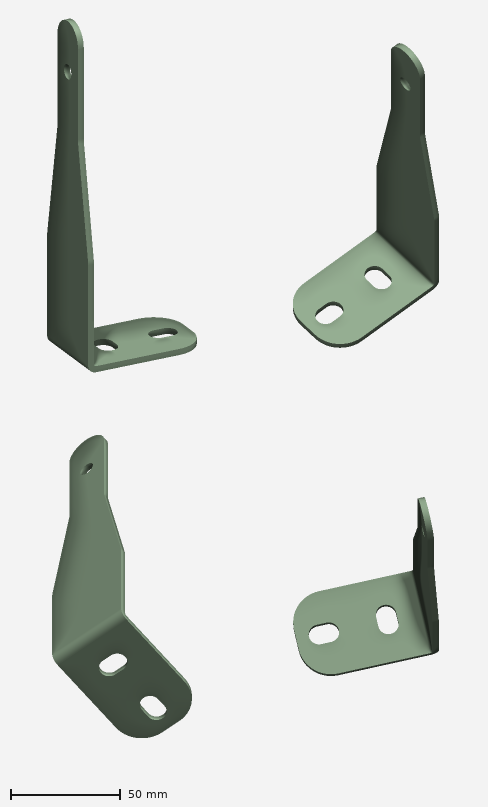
import cadquery as cq

width = 40.0
depth = 62.0
height = 167.0
thickness = 3.0

inner_bend_radius = 1.0
outer_bend_radius = inner_bend_radius + thickness

tongue_width = 20.0
taper_bottom = 54.8
taper_top = 111.0
taper_blend_radius = 10.0
pin_hole_diameter = 7.2
pin_hole_height = 142.0

base_corner_radius = 15.0
slot_length = 14.0
slot_width = 9.4
cross_slot_y = 19.5
long_slot_y = 49.1


def bent_strip():
    """L-shaped sheet of full width, front face on y = 0, underside on z = 0."""
    profile = (
        cq.Workplane("YZ")
        .rect(depth, height)
        .extrude(width / 2, both=True)
        .translate((0, depth / 2, height / 2))
    )
    inside = (
        cq.Workplane("XY")
        .box(width, depth, height, centered=(True, False, False))
        .translate((0, thickness, thickness))
        .edges("|X and <Y and <Z")
        .fillet(inner_bend_radius)
    )
    return profile.edges("|X and <Y and <Z").fillet(outer_bend_radius).cut(inside)


def upright_outline():
    """Front silhouette, extruded through the whole depth."""
    half_foot = width / 2
    half_tongue = tongue_width / 2
    outline = (
        cq.Workplane("XZ")
        .moveTo(-half_foot, 0)
        .lineTo(half_foot, 0)
        .lineTo(half_foot, taper_bottom)
        .lineTo(half_tongue, taper_top)
        .lineTo(half_tongue, height - half_tongue)
        .threePointArc((0, height), (-half_tongue, height - half_tongue))
        .lineTo(-half_tongue, taper_top)
        .lineTo(-half_foot, taper_bottom)
        .close()
        .extrude(-depth)
    )
    taper_zone = cq.selectors.BoxSelector(
        (-width, -depth, taper_bottom / 2),
        (width, 2 * depth, (taper_top + height - half_tongue) / 2),
    )
    return outline.edges("|Y").edges(taper_zone).fillet(taper_blend_radius)


def slot(y, angle):
    return cq.Workplane("XY").center(0, y).slot2D(slot_length, slot_width, angle).extrude(thickness)


pin_hole = (
    cq.Workplane("XZ")
    .center(0, pin_hole_height)
    .circle(pin_hole_diameter / 2)
    .extrude(-thickness)
)

result = bent_strip().intersect(upright_outline())
result = result.edges("|Z and >Y").fillet(base_corner_radius)
result = result.cut(pin_hole).cut(slot(cross_slot_y, 0)).cut(slot(long_slot_y, 90))